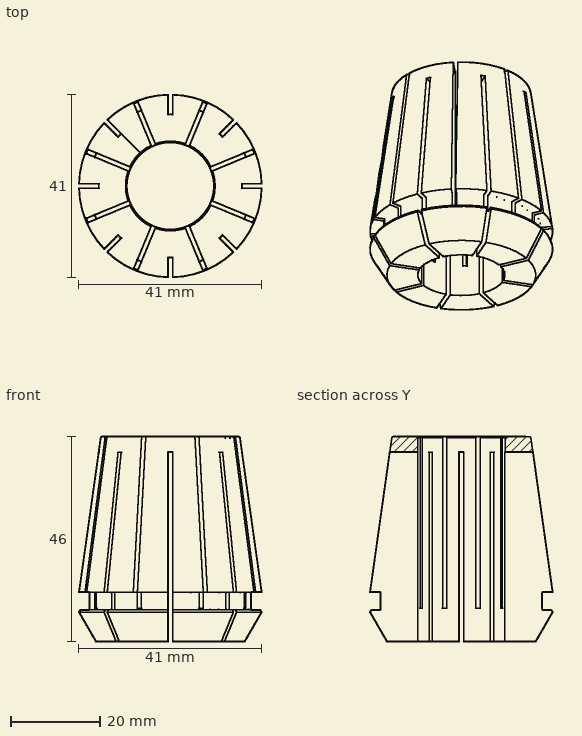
import cadquery as cq
import math

length = 46.0
max_radius = 20.5
bore_radius = 19.5 / 2

cone_half_angle = 8.0
cone_bottom_z = 11.1
cone_top_radius = max_radius - (length - cone_bottom_z) * math.tan(math.radians(cone_half_angle))
top_edge_fillet = 0.5
bore_edge_chamfer = 0.3

groove_radius = 18.15
groove_corner_radius = 0.2
flange_top_z = 7.1
flange_rim_z = 6.6
flange_top_radius = 20.2
flange_half_angle = 30.0
base_radius = max_radius - flange_rim_z * math.tan(math.radians(flange_half_angle))

slots_per_end = 8
slot_pitch = 360.0 / slots_per_end
slot_width = 1.0
blade_length = max_radius + 1.0
bottom_slot_end_z = 42.5
top_slot_floor_z = 7.5


def make_body():
    """Revolve the half section: flange, groove and cone around a plain bore."""
    corner = groove_corner_radius
    section = (
        cq.Workplane("XZ")
        .moveTo(bore_radius, 0)
        .lineTo(base_radius, 0)
        .lineTo(max_radius, flange_rim_z)
        .lineTo(flange_top_radius, flange_top_z)
        .lineTo(groove_radius + corner, flange_top_z)
        .radiusArc((groove_radius, flange_top_z + corner), corner)
        .lineTo(groove_radius, cone_bottom_z - corner)
        .radiusArc((groove_radius + corner, cone_bottom_z), corner)
        .lineTo(max_radius, cone_bottom_z)
        .lineTo(cone_top_radius, length)
        .lineTo(bore_radius + bore_edge_chamfer, length)
        .lineTo(bore_radius, length - bore_edge_chamfer)
        .close()
    )
    body = section.revolve(360, (0, 0, 0), (0, 1, 0))
    cone_top_edge = cq.selectors.RadiusNthSelector(-1)
    return body.faces(">Z").edges(cone_top_edge).fillet(top_edge_fillet)


def make_slot(start_z, end_z, angle):
    """Radial blade from the axis through the wall, turned about Z."""
    blade = cq.Workplane("XY").box(
        blade_length, slot_width, end_z - start_z, centered=(False, True, False)
    )
    return blade.translate((0, 0, start_z)).rotate((0, 0, 0), (0, 0, 1), angle)


def cut_slots(body, start_z, end_z, first_angle):
    for index in range(slots_per_end):
        body = body.cut(make_slot(start_z, end_z, first_angle + index * slot_pitch))
    return body


result = make_body()
result = cut_slots(result, 0, bottom_slot_end_z, 0)
result = cut_slots(result, top_slot_floor_z, length, slot_pitch / 2)